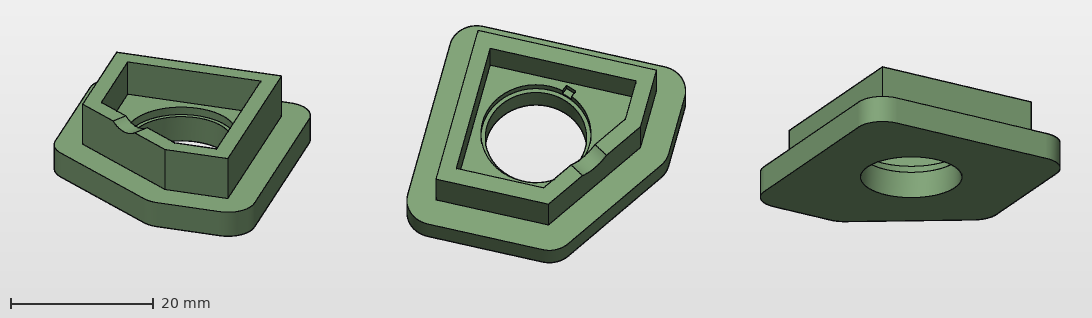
import cadquery as cq
import math

LENGTH_X = 32.12
LENGTH_Y = 33.92
HEIGHT = 10.18

FLANGE_THICKNESS = 3.83
FLANGE_CORNER_RADIUS = 3.85
WALL_MARGIN_X = 3.97
WALL_MARGIN_Y = 4.07
WALL_THICKNESS = 2.35
POCKET_DEPTH = 5.12

FLANGE_CUT_X = 17.88
FLANGE_CUT_Y = 11.33
WALL_CUT_X = 18.95
WALL_CUT_Y = 13.6

BORE_X = 16.9
BORE_Y = 18.65
BORE_DIAMETER = 14.2
COUNTERBORE_DIAMETER = 15.45
COUNTERBORE_DEPTH = 1.2
NOTCH_REACH = 8.7
NOTCH_WIDTH = 1.55
NOTCH_DEPTH = 0.9
NOTCH_ANGLE = -20.5

GROOVE_WIDTH = 4.65
GROOVE_DEPTH = 0.78

FLOOR_Z = HEIGHT - POCKET_DEPTH


def cut_corner_outline(z, margin_x, margin_y, cut_x, cut_y):
    """Rectangle set in from the overall size, with its front left corner cut off."""
    right = LENGTH_X - margin_x
    back = LENGTH_Y - margin_y
    points = [
        (cut_x, margin_y),
        (right, margin_y),
        (right, back),
        (margin_x, back),
        (margin_x, cut_y),
    ]
    return cq.Workplane("XY", origin=(0, 0, z)).polyline(points).close()


def wall_outline(z):
    return cut_corner_outline(z, WALL_MARGIN_X, WALL_MARGIN_Y, WALL_CUT_X, WALL_CUT_Y)


def make_body():
    flange = (
        cut_corner_outline(0, 0, 0, FLANGE_CUT_X, FLANGE_CUT_Y)
        .extrude(FLANGE_THICKNESS)
        .edges("|Z")
        .fillet(FLANGE_CORNER_RADIUS)
    )
    raised_block = wall_outline(0).extrude(HEIGHT)
    pocket = wall_outline(FLOOR_Z).offset2D(-WALL_THICKNESS, "intersection").extrude(POCKET_DEPTH)
    return flange.union(raised_block).cut(pocket)


def make_bore():
    axis = cq.Workplane("XY", origin=(BORE_X, BORE_Y, 0))
    through_hole = axis.circle(BORE_DIAMETER / 2).extrude(FLOOR_Z)
    counterbore = (
        axis.workplane(offset=FLOOR_Z - COUNTERBORE_DEPTH)
        .circle(COUNTERBORE_DIAMETER / 2)
        .extrude(COUNTERBORE_DEPTH)
    )
    return through_hole.union(counterbore)


def make_notch():
    return (
        cq.Workplane("XY")
        .box(NOTCH_REACH, NOTCH_WIDTH, NOTCH_DEPTH, centered=(False, True, False))
        .rotate((0, 0, 0), (0, 0, 1), NOTCH_ANGLE)
        .translate((BORE_X, BORE_Y, FLOOR_Z - NOTCH_DEPTH))
    )


def make_groove():
    """Cylinder square to the slanted wall, centred on that wall's length."""
    radius = ((GROOVE_WIDTH / 2) ** 2 + GROOVE_DEPTH**2) / (2 * GROOVE_DEPTH)
    run = WALL_CUT_X - WALL_MARGIN_X
    rise = WALL_CUT_Y - WALL_MARGIN_Y
    side_length = math.hypot(run, rise)
    inward = cq.Vector(rise / side_length, run / side_length, 0)
    side_middle = cq.Vector(
        (WALL_CUT_X + WALL_MARGIN_X) / 2,
        (WALL_CUT_Y + WALL_MARGIN_Y) / 2,
        HEIGHT - GROOVE_DEPTH + radius,
    )
    start = side_middle - inward * WALL_THICKNESS
    return cq.Workplane(cq.Solid.makeCylinder(radius, 2.5 * WALL_THICKNESS, start, inward))


result = make_body().cut(make_bore()).cut(make_notch()).cut(make_groove())